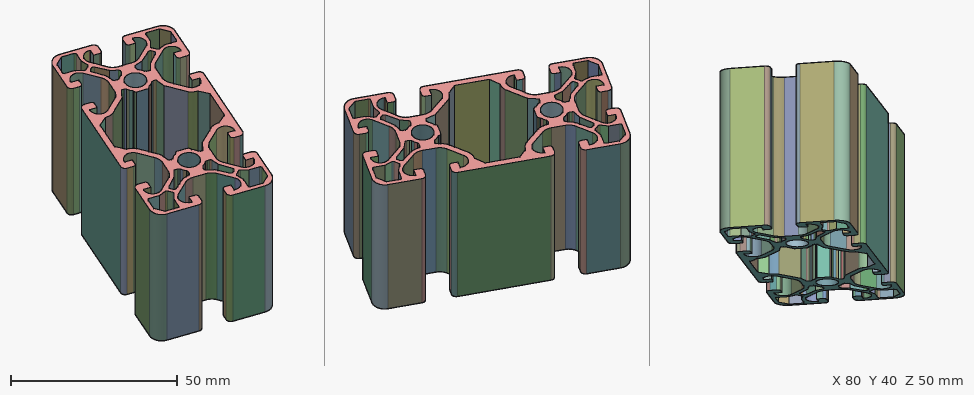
import cadquery as cq
import math

width = 80.0
depth = 40.0
height = 50.0
corner_radius = 4.0
half_cell = depth / 2
cell_offset = (width - depth) / 2

bore_diameter = 6.8

slot_half_opening = 4.0
lip_depth = 4.5
lip_half_gap = 6.9
lip_outer_radius = 1.5
lip_inner_radius = 1.0
slot_half_width = 10.1
skin = 2.0
slot_floor = 7.8
flank_offset = 3.8
floor_blend_radius = 4.3
slot_roof = half_cell - skin
lip_bottom = half_cell - lip_depth

pocket_radius = (slot_roof - slot_half_width - flank_offset) / math.sqrt(2)
pocket_u = slot_half_width - pocket_radius
pocket_v = slot_roof - pocket_radius

core_face = 5.1
core_ridge_distance = 5.0
core_ridge_half_width = 1.0
core_ridge_angle = math.radians(7.5)
core_flare_width = 0.53
core_flare_angle = math.radians(20)
neck_half_width = 2.4
core_valley_distance = core_ridge_distance - core_ridge_half_width * math.tan(core_ridge_angle)
core_flat_distance = core_valley_distance + core_flare_width * math.tan(core_flare_angle)
flare_run = (core_valley_distance - core_ridge_half_width - neck_half_width * math.sqrt(2)) / (
    1 - math.tan(core_flare_angle)
)
neck_bevel = neck_half_width + (core_ridge_half_width + flare_run) * math.sqrt(2)

web_chamber_knee_offset = 1.9
web_chamber_end_offset = 1.6
web_chamber_knee = 5.3
web_chamber_neck_top = 6.1
web_chamber_end_sum = 20.2
web_chamber_end_radius = 0.8
web_chamber_neck_radius = 0.6

corner_chamber_outer = 18.6
corner_chamber_chamfer = 2.6
corner_chamber_inner = 11.4
corner_chamber_bend = 14.6
corner_chamber_tip_u = 10.2
corner_chamber_tip_sum = 22.1
corner_chamber_radius = 0.6

cavity_arc_radius = pocket_radius + skin
cavity_flank_offset = 1.1
cavity_chamfer = 2.6
cavity_chamfer_start = 12.1
cavity_knee = 5.7
cavity_neck_top = 5.7
cavity_neck_radius = 0.4


def prism(outline):
    """Extrude a closed polygon over the full height."""
    return cq.Workplane("XY").polyline(outline).close().extrude(height)


def round_edges(solid, points, radius):
    """Fillet the vertical edges that stand at the given points."""
    for x, y in points:
        edge = cq.NearestToPointSelector((x, y, height / 2))
        solid = solid.edges("|Z").edges(edge).fillet(radius)
    return solid


def swap(points):
    """Mirror points across the diagonal u = v."""
    return [(v, u) for u, v in points]


def diagonal_point(distance, offset):
    """Point at a distance along the diagonal u = v, offset sideways towards +V."""
    return ((distance - offset) / math.sqrt(2), (distance + offset) / math.sqrt(2))


def core_ridge():
    """Points of half a diagonal core side: ridge, then the valley beside it."""
    return [
        diagonal_point(core_ridge_distance, 0),
        diagonal_point(core_valley_distance, core_ridge_half_width),
    ]


def slot_cutter():
    """Slot opening towards +Y, in coordinates of its cell's centre."""
    diagonal = pocket_radius / math.sqrt(2)
    flank_top = (pocket_u + diagonal, pocket_v - diagonal)
    arc_middle = (pocket_u + diagonal, pocket_v + diagonal)
    floor_end = (slot_floor - flank_offset, slot_floor)
    half = (
        cq.Workplane("XY")
        .moveTo(0, slot_floor)
        .lineTo(*floor_end)
        .lineTo(*flank_top)
        .threePointArc(arc_middle, (pocket_u, slot_roof))
        .lineTo(lip_half_gap, slot_roof)
        .lineTo(lip_half_gap, lip_bottom)
        .lineTo(slot_half_opening, lip_bottom)
        .lineTo(slot_half_opening, half_cell)
        .lineTo(0, half_cell)
        .close()
        .extrude(height)
    )
    half = round_edges(half, [floor_end], floor_blend_radius)
    half = round_edges(half, [(slot_half_opening, lip_bottom)], lip_inner_radius)
    flare_end = slot_half_opening + lip_outer_radius
    flare_start = half_cell - lip_outer_radius
    bulge = lip_outer_radius * (1 - math.sqrt(0.5))
    flare = (
        cq.Workplane("XY")
        .moveTo(slot_half_opening, flare_start)
        .threePointArc((slot_half_opening + bulge, half_cell - bulge), (flare_end, half_cell))
        .lineTo(slot_half_opening, half_cell)
        .close()
        .extrude(height)
    )
    half = half.union(flare)
    return half.union(half.mirror("YZ"))


def web_chamber_cutter():
    """Slim chamber in the +X +Y diagonal web of a cell."""
    end_u = (web_chamber_end_sum - web_chamber_end_offset) / 2
    end = (end_u, end_u + web_chamber_end_offset)
    knee = (web_chamber_knee, web_chamber_knee + web_chamber_knee_offset)
    neck_top = (neck_half_width, web_chamber_neck_top)
    ridge, valley = core_ridge()
    side = [valley, (neck_half_width, neck_bevel), neck_top, knee, end]
    chamber = prism([ridge] + side + swap(side)[::-1])
    chamber = round_edges(chamber, [end] + swap([end]), web_chamber_end_radius)
    return round_edges(chamber, [neck_top] + swap([neck_top]), web_chamber_neck_radius)


def corner_chamber_cutter():
    """Hollow behind the rounded +X +Y corner of a cell."""
    tip = (corner_chamber_tip_u, corner_chamber_tip_sum - corner_chamber_tip_u)
    top = (corner_chamber_inner, corner_chamber_outer)
    side = [
        tip,
        (corner_chamber_inner, corner_chamber_bend),
        top,
        (corner_chamber_outer - corner_chamber_chamfer, corner_chamber_outer),
    ]
    chamber = prism(side + swap(side)[::-1])
    return round_edges(chamber, [tip, top] + swap([tip, top]), corner_chamber_radius)


def cavity_cutter():
    """Central cavity; its quarter is drawn from the centre of the left-hand cell."""
    flank_distance = (pocket_v - pocket_u - cavity_flank_offset) / math.sqrt(2)
    arc_end_angle = math.acos(flank_distance / cavity_arc_radius) - math.pi / 4
    arc_start_angle = math.acos((cavity_chamfer_start - pocket_u) / cavity_arc_radius)

    def arc_point(angle):
        return (
            pocket_u + cavity_arc_radius * math.cos(angle),
            pocket_v + cavity_arc_radius * math.sin(angle),
        )

    ridge, valley = core_ridge()
    flat_start = diagonal_point(core_flat_distance, core_ridge_half_width + core_flare_width)
    neck_top = (neck_half_width, cavity_neck_top)
    core_side = [
        (core_face, core_flat_distance * math.sqrt(2) - core_face),
        flat_start[::-1],
        valley[::-1],
        ridge,
        valley,
        (neck_half_width, neck_bevel),
        neck_top,
        (cavity_knee, cavity_knee + cavity_flank_offset),
    ]
    quarter = (
        cq.Workplane("XY")
        .polyline([(core_face, 0)] + core_side + [arc_point(arc_end_angle)])
        .threePointArc(arc_point((arc_start_angle + arc_end_angle) / 2), arc_point(arc_start_angle))
        .lineTo(cavity_chamfer_start + cavity_chamfer, slot_roof)
        .lineTo(cell_offset, slot_roof)
        .lineTo(cell_offset, 0)
        .close()
        .extrude(height)
    )
    quarter = round_edges(quarter, [neck_top], cavity_neck_radius)
    quarter = quarter.translate((-cell_offset, 0, 0))
    half = quarter.union(quarter.mirror("XZ"))
    return half.union(half.mirror("YZ"))


def turned(cutter, angle):
    """Rotate a cutter about the vertical axis through the origin."""
    return cutter.rotate((0, 0, 0), (0, 0, 1), angle)


body = cq.Workplane("XY").rect(width, depth).extrude(height)
body = body.edges("|Z").fillet(corner_radius)

slot = slot_cutter()
cell_cutter = cq.Workplane("XY").circle(bore_diameter / 2).extrude(height)
for slot_angle in (0, 180, -90):
    cell_cutter = cell_cutter.union(turned(slot, slot_angle))
for chamber_angle in (0, -90):
    cell_cutter = cell_cutter.union(turned(web_chamber_cutter(), chamber_angle))
    cell_cutter = cell_cutter.union(turned(corner_chamber_cutter(), chamber_angle))
cell_cutter = cell_cutter.translate((cell_offset, 0, 0))

body = body.cut(cell_cutter).cut(turned(cell_cutter, 180))
result = body.cut(cavity_cutter())